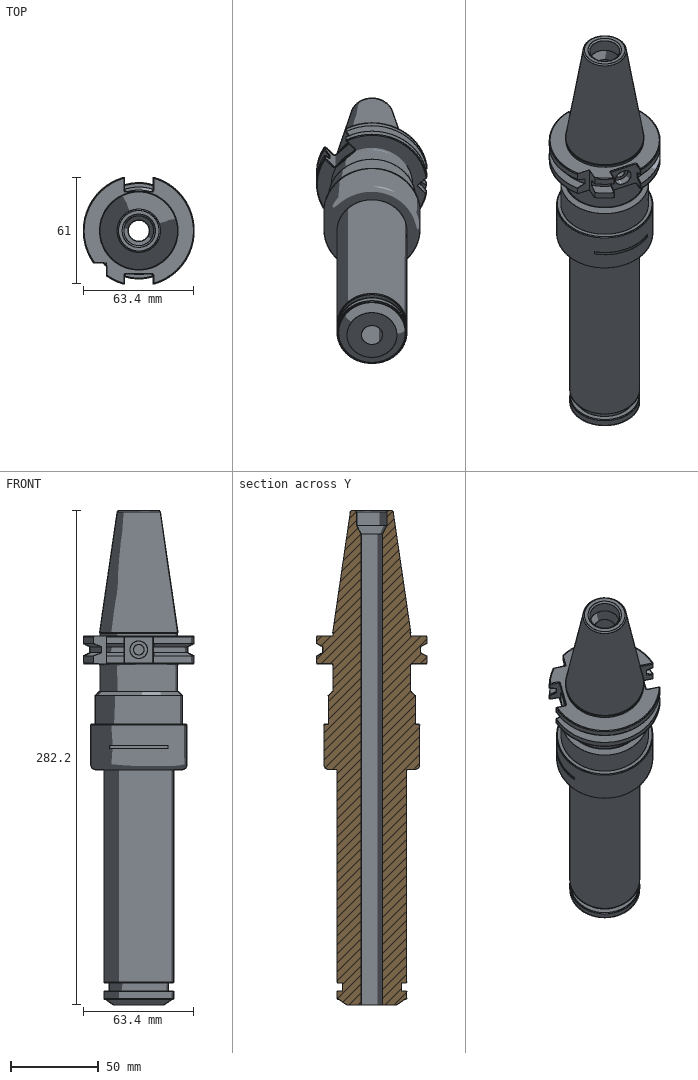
import cadquery as cq
import math


GAUGE_DIAMETER = 44.45
TAPER_RATIO = 7 / 24
TAPER_TOP = 68.4
TAPER_END = -1.3
TIP_CHAMFER = 0.8
RELIEF_DIAMETER = 44.15
RELIEF_HEIGHT = 0.6

FLANGE_DIAMETER = 63.35
FLANGE_TOP = -3.2
FLANGE_THICKNESS = 15.9
FLANGE_BOTTOM = FLANGE_TOP - FLANGE_THICKNESS
FLANGE_CHAMFER = 0.5
GROOVE_CENTER = -11.1
GROOVE_MOUTH = 7.0
GROOVE_FLOOR = 3.4
GROOVE_DIAMETER = 56.0

SLOT_WIDTH = 16.1
SLOT_FILLET = 0.8
SLOT_CHAMFER = 0.5
FRONT_SLOT_FLOOR = 24.8
BACK_SLOT_FLOOR = 22.5
NOTCH_OFFSET = 18.3

SCREW_HEAD_DIAMETER = 10.0
SCREW_HEAD_DEPTH = 4.0
SCREW_DIAMETER = 6.0
SCREW_DEPTH = 8.0

NECK_DIAMETER = 44.45
NECK_FILLET = 1.0
SHOULDER_TOP = -34.9
SHOULDER_DIAMETER = 50.0
SHOULDER_CHAMFER = 2.4
NUT_TOP = -53.6
NUT_BOTTOM = -79.6
NUT_DIAMETER = 55.0
NUT_CHAMFER = 0.5
NUT_FILLET = 3.0

MARK_WIDTH = 33.5
MARK_HEIGHT = 1.7
MARK_CENTER = -66.6
MARK_DEPTH = 0.1

TUBE_DIAMETER = 40.0
TOTAL_LENGTH = 282.25
BOTTOM = TAPER_TOP - TOTAL_LENGTH
END_GROOVE_TOP = -201.3
END_GROOVE_BOTTOM = -205.7
END_GROOVE_DIAMETER = 34.0
END_RIM_BOTTOM = -210.6
END_CHAMFER = 0.5
BEVEL_DIAMETER = 38.0
END_FACE_DIAMETER = 28.5

COUNTERBORE_DIAMETER = 17.0
COUNTERBORE_DEPTH = 8.5
COUNTERBORE_CHAMFER = 1.0
BORE_CONE_HEIGHT = 5.0
BORE_DIAMETER = 12.0


def revolve_outline(outline):
    """Turn a closed (radius, height) outline once around Z."""
    return outline.close().revolve(360, (0, 0, 0), (0, 1, 0))


def taper_radius(height):
    return (GAUGE_DIAMETER - height * TAPER_RATIO) / 2


def make_body():
    """Outside of the holder without its flange."""
    tip_shoulder = TAPER_TOP - TIP_CHAMFER
    relief_radius = RELIEF_DIAMETER / 2
    relief_bottom = TAPER_END - RELIEF_HEIGHT
    neck_radius = NECK_DIAMETER / 2
    shoulder_radius = SHOULDER_DIAMETER / 2
    nut_radius = NUT_DIAMETER / 2
    tube_radius = TUBE_DIAMETER / 2
    end_groove_radius = END_GROOVE_DIAMETER / 2

    arc_inset = 1 - math.sqrt(0.5)
    neck_arc_middle = (neck_radius + NECK_FILLET * arc_inset, FLANGE_BOTTOM - NECK_FILLET * arc_inset)
    nut_arc_middle = (nut_radius - NUT_FILLET * arc_inset, NUT_BOTTOM + NUT_FILLET * arc_inset)

    outline = (
        cq.Workplane("XZ")
        .moveTo(0, TAPER_TOP)
        .lineTo(taper_radius(tip_shoulder) - TIP_CHAMFER, TAPER_TOP)
        .lineTo(taper_radius(tip_shoulder), tip_shoulder)
        .lineTo(taper_radius(TAPER_END), TAPER_END)
        .lineTo(relief_radius, TAPER_END)
        .lineTo(relief_radius, relief_bottom)
        .lineTo(neck_radius, relief_bottom)
        .lineTo(neck_radius, FLANGE_BOTTOM)
        .lineTo(neck_radius + NECK_FILLET, FLANGE_BOTTOM)
        .threePointArc(neck_arc_middle, (neck_radius, FLANGE_BOTTOM - NECK_FILLET))
        .lineTo(neck_radius, SHOULDER_TOP)
        .lineTo(shoulder_radius - SHOULDER_CHAMFER, SHOULDER_TOP)
        .lineTo(shoulder_radius, SHOULDER_TOP - SHOULDER_CHAMFER)
        .lineTo(shoulder_radius, NUT_TOP)
        .lineTo(nut_radius - NUT_CHAMFER, NUT_TOP)
        .lineTo(nut_radius, NUT_TOP - NUT_CHAMFER)
        .lineTo(nut_radius, NUT_BOTTOM + NUT_FILLET)
        .threePointArc(nut_arc_middle, (nut_radius - NUT_FILLET, NUT_BOTTOM))
        .lineTo(tube_radius, NUT_BOTTOM)
        .lineTo(tube_radius, END_GROOVE_TOP + END_CHAMFER)
        .lineTo(tube_radius - END_CHAMFER, END_GROOVE_TOP)
        .lineTo(end_groove_radius, END_GROOVE_TOP)
        .lineTo(end_groove_radius, END_GROOVE_BOTTOM)
        .lineTo(tube_radius - END_CHAMFER, END_GROOVE_BOTTOM)
        .lineTo(tube_radius, END_GROOVE_BOTTOM - END_CHAMFER)
        .lineTo(tube_radius, END_RIM_BOTTOM + END_CHAMFER)
        .lineTo(tube_radius - END_CHAMFER, END_RIM_BOTTOM)
        .lineTo(BEVEL_DIAMETER / 2, END_RIM_BOTTOM)
        .lineTo(END_FACE_DIAMETER / 2, BOTTOM)
        .lineTo(0, BOTTOM)
    )
    return revolve_outline(outline)


def make_flange_disc():
    """Flange disc with chamfered rims and a V groove around its edge."""
    radius = FLANGE_DIAMETER / 2
    groove_radius = GROOVE_DIAMETER / 2
    outline = (
        cq.Workplane("XZ")
        .moveTo(0, FLANGE_TOP)
        .lineTo(radius - FLANGE_CHAMFER, FLANGE_TOP)
        .lineTo(radius, FLANGE_TOP - FLANGE_CHAMFER)
        .lineTo(radius, GROOVE_CENTER + GROOVE_MOUTH / 2)
        .lineTo(groove_radius, GROOVE_CENTER + GROOVE_FLOOR / 2)
        .lineTo(groove_radius, GROOVE_CENTER - GROOVE_FLOOR / 2)
        .lineTo(radius, GROOVE_CENTER - GROOVE_MOUTH / 2)
        .lineTo(radius, FLANGE_BOTTOM + FLANGE_CHAMFER)
        .lineTo(radius - FLANGE_CHAMFER, FLANGE_BOTTOM)
        .lineTo(0, FLANGE_BOTTOM)
    )
    return revolve_outline(outline)


def make_slot(floor, side):
    """Driving slot on the +Y (side = 1) or -Y (side = -1) edge, rounded at the floor corners."""
    depth = FLANGE_DIAMETER / 2 - floor
    floor_face = "<Y" if side > 0 else ">Y"
    slot = cq.Workplane("XY").box(SLOT_WIDTH, depth, FLANGE_THICKNESS)
    slot = slot.faces(floor_face).edges("|Z").fillet(SLOT_FILLET)
    return slot.translate((0, side * (floor + depth / 2), (FLANGE_TOP + FLANGE_BOTTOM) / 2))


def make_notch():
    """Square corner cut on the (-X, -Y) side of the flange."""
    size = FLANGE_DIAMETER / 2
    start = -NOTCH_OFFSET - size
    notch = cq.Workplane("XY").box(size, size, FLANGE_THICKNESS, centered=False)
    return notch.translate((start, start, FLANGE_BOTTOM))


def make_flange():
    """Flange with two chamfered driving slots and the corner notch."""
    flange = make_flange_disc()
    flange = flange.cut(make_slot(FRONT_SLOT_FLOOR, -1))
    flange = flange.cut(make_slot(BACK_SLOT_FLOOR, 1))
    wall_edges = flange.faces("|X").edges()
    outer_edges = wall_edges.filter(lambda edge: edge.Length() < 0.9 * FLANGE_THICKNESS)
    return outer_edges.chamfer(SLOT_CHAMFER).cut(make_notch())


def make_bore():
    """Through bore, opening through a cone into a chamfered counterbore at the taper tip."""
    bore_radius = BORE_DIAMETER / 2
    counterbore_radius = COUNTERBORE_DIAMETER / 2
    cone_top = TAPER_TOP - COUNTERBORE_DEPTH
    outline = (
        cq.Workplane("XZ")
        .moveTo(0, BOTTOM)
        .lineTo(bore_radius, BOTTOM)
        .lineTo(bore_radius, cone_top - BORE_CONE_HEIGHT)
        .lineTo(counterbore_radius, cone_top)
        .lineTo(counterbore_radius, TAPER_TOP - COUNTERBORE_CHAMFER)
        .lineTo(counterbore_radius + COUNTERBORE_CHAMFER, TAPER_TOP)
        .lineTo(0, TAPER_TOP)
    )
    return revolve_outline(outline)


def make_screw_hole():
    """Stepped hole going inwards from the floor of the front slot."""
    plane = cq.Workplane("XZ", origin=(0, -FRONT_SLOT_FLOOR, GROOVE_CENTER))
    head = plane.circle(SCREW_HEAD_DIAMETER / 2).extrude(-SCREW_HEAD_DEPTH)
    shank = plane.circle(SCREW_DIAMETER / 2).extrude(-SCREW_DEPTH)
    return head.union(shank)


def make_mark():
    """Shallow rectangular recess that follows the round front of the nut."""
    radius = NUT_DIAMETER / 2
    ring = (
        cq.Workplane("XY", origin=(0, 0, MARK_CENTER - MARK_HEIGHT / 2))
        .circle(radius + MARK_DEPTH)
        .circle(radius - MARK_DEPTH)
        .extrude(MARK_HEIGHT)
    )
    window = cq.Workplane("XY", origin=(0, -radius, MARK_CENTER)).box(MARK_WIDTH, NUT_DIAMETER, MARK_HEIGHT)
    return ring.intersect(window)


result = (
    make_body()
    .union(make_flange())
    .cut(make_bore())
    .cut(make_screw_hole())
    .cut(make_mark())
)